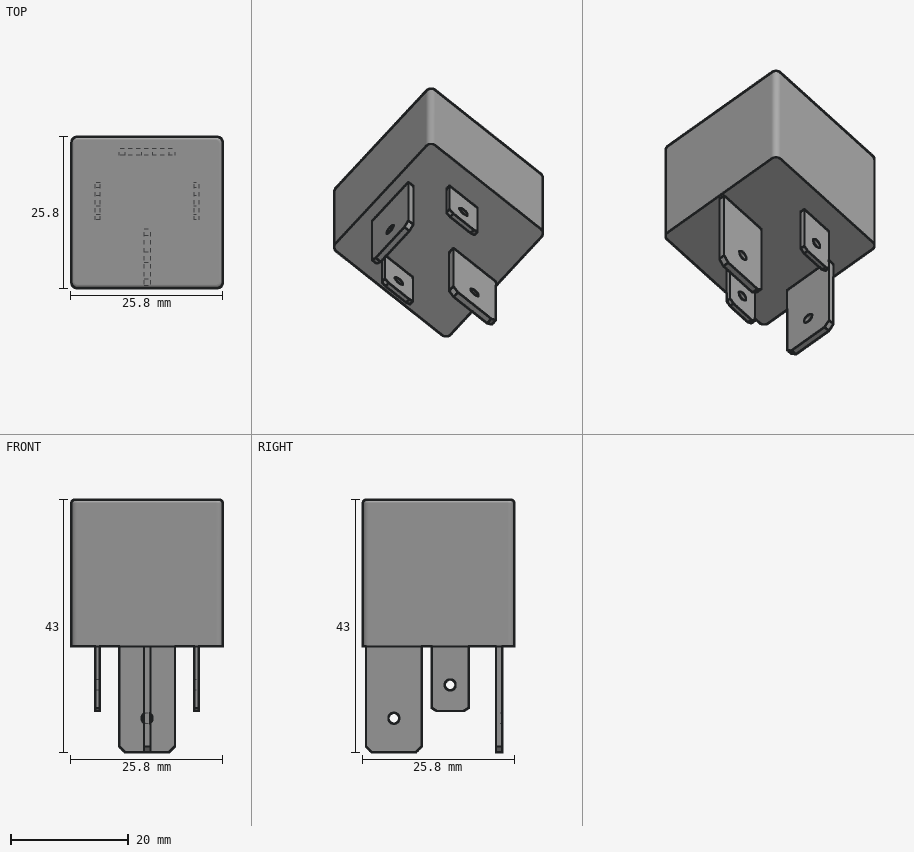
import cadquery as cq

total_height = 43.0
body_side = 25.8
small_blade_length = 11.0
large_blade_length = 18.0
body_height = total_height - large_blade_length
upright_edge_radius = 1.05
top_edge_radius = 0.6

hole_diameter = 1.8

large_blade_width = 9.55
large_blade_thickness = 1.1
large_corner_width = 1.05
large_corner_height = 1.05
large_hole_depth = 12.2

small_blade_width = 6.3
small_blade_thickness = 0.8
small_corner_width = 0.85
small_corner_height = 0.55
small_hole_depth = 6.55

front_blade_y = -7.6
back_blade_y = 10.3
small_blade_x = 8.43
small_blade_y = 1.98


def make_body():
    """Box with rounded upright edges and a smaller rounding around the top."""
    body = cq.Workplane("XY").box(body_side, body_side, body_height, centered=(True, True, False))
    body = body.edges("|Z").fillet(upright_edge_radius)
    return body.faces(">Z").edges().fillet(top_edge_radius)


def make_blade(width, thickness, length, corner_width, corner_height, hole_depth):
    """Blade in the YZ plane, top edge centred on the origin, with cut lower corners and a hole."""
    half_width = width / 2
    tip_half_width = half_width - corner_width
    corner_z = corner_height - length
    outline = [
        (-half_width, 0),
        (-half_width, corner_z),
        (-tip_half_width, -length),
        (tip_half_width, -length),
        (half_width, corner_z),
        (half_width, 0),
    ]
    blade = cq.Workplane("YZ").polyline(outline).close().extrude(thickness / 2, both=True)
    hole = (
        cq.Workplane("YZ")
        .center(0, -hole_depth)
        .circle(hole_diameter / 2)
        .extrude(thickness, both=True)
    )
    return blade.cut(hole)


large_blade = make_blade(
    large_blade_width,
    large_blade_thickness,
    large_blade_length,
    large_corner_width,
    large_corner_height,
    large_hole_depth,
)
small_blade = make_blade(
    small_blade_width,
    small_blade_thickness,
    small_blade_length,
    small_corner_width,
    small_corner_height,
    small_hole_depth,
)

front_blade = large_blade.translate((0, front_blade_y, 0))
back_blade = large_blade.rotate((0, 0, 0), (0, 0, 1), 90).translate((0, back_blade_y, 0))

result = make_body().union(front_blade).union(back_blade)
for side in (-1, 1):
    result = result.union(small_blade.translate((side * small_blade_x, small_blade_y, 0)))